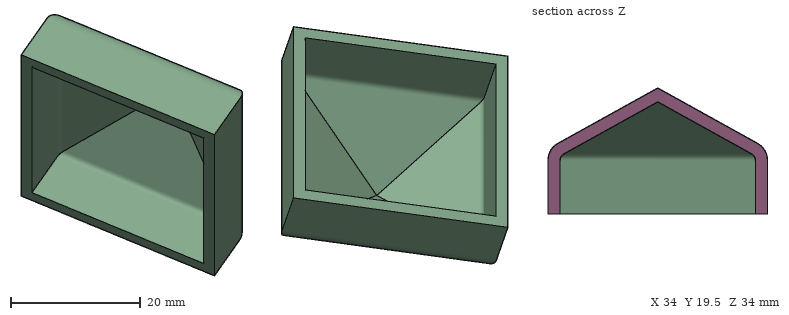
import cadquery as cq
import math

side = 34.0
height = 19.5
roof_slope = 29.0
eave_radius = 3.0
wall = 1.9

slope = math.radians(roof_slope)

cavity_side = side - 2 * wall
cavity_height = height - wall / math.cos(slope)
cavity_radius = eave_radius - wall


def gable_prism(width, apex_height, radius):
    """House-shaped bar along Z with rounded eaves, centred on the Y axis."""
    half = width / 2
    eave_height = apex_height - half * math.tan(slope)
    tangent_length = radius * math.tan((math.pi / 2 - slope) / 2)
    wall_top = eave_height - tangent_length
    arc_center_x = half - radius
    roof_start = (arc_center_x + radius * math.sin(slope), wall_top + radius * math.cos(slope))
    mid_angle = (math.pi / 2 - slope) / 2
    arc_middle = (arc_center_x + radius * math.cos(mid_angle), wall_top + radius * math.sin(mid_angle))

    return (
        cq.Workplane("XY")
        .moveTo(-half, 0)
        .lineTo(half, 0)
        .lineTo(half, wall_top)
        .threePointArc(arc_middle, roof_start)
        .lineTo(0, apex_height)
        .lineTo(-roof_start[0], roof_start[1])
        .threePointArc((-arc_middle[0], arc_middle[1]), (-half, wall_top))
        .close()
        .extrude(half, both=True)
    )


def pyramid_block(width, apex_height, radius):
    """Square block with a pyramid roof: two crossed gable bars mitre at the corners."""
    along_z = gable_prism(width, apex_height, radius)
    along_x = along_z.rotate((0, 0, 0), (0, 1, 0), 90)
    return along_z.intersect(along_x)


outer_body = pyramid_block(side, height, eave_radius)
cavity = pyramid_block(cavity_side, cavity_height, cavity_radius)

result = outer_body.cut(cavity)